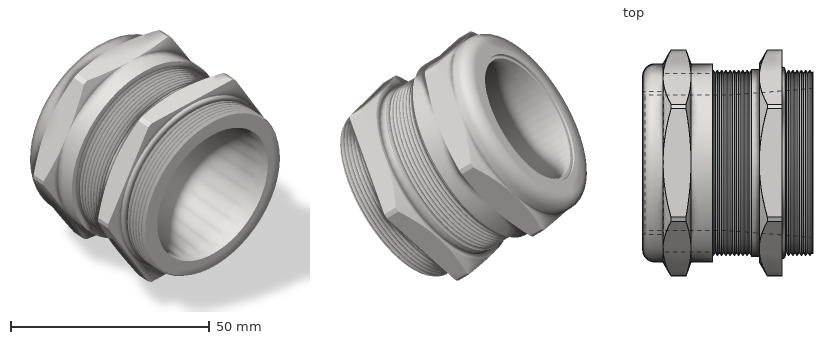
import cadquery as cq
import math


hex_flats = 50.0
hex_corners = 57.05
flat_radius = hex_flats / 2
corner_radius = hex_corners / 2
front_bevel = math.radians(30)
rear_bevel = math.radians(20)

cap_end_x = 17.7
cap_hex_start_x = 5.15
cap_hex_end_x = 12.2
cap_rounding = 3.15
lip_end_x = 5.25

nose_x = 0.6
nose_radius = 18.0
bore_radius = 17.1
taper_start_x = 21.35
mouth_radius = 18.8
collar_start_x = 27.45
collar_radius = 23.6
body_hex_start_x = 29.45
body_hex_end_x = 35.2
flange_end_x = 36.0
flange_radius = 24.2
body_end_x = 42.95

crest_radius = 23.4
root_radius = 22.55
front_crest_x = 17.8
front_ridges = 9
pitch = (collar_start_x - front_crest_x) / front_ridges
rear_crest_x = 36.85
rear_ridges = 6
rear_end_radius = 22.95


def turned(points):
    """Solid of revolution about X from a closed outline of (x, radius) points."""
    return cq.Workplane("XZ").polyline(points).close().revolve(360, (0, 0, 0), (1, 0, 0))


def ring(start_x, end_x, outer_radius, inner_radius):
    """Plain cylinder about X with a concentric hole."""
    return turned(
        [
            (start_x, inner_radius),
            (start_x, outer_radius),
            (end_x, outer_radius),
            (end_x, inner_radius),
        ]
    )


def bevelled_hex(start_x, end_x, inner_radius, bevel_rear):
    """Hexagonal ring with turned corners, bevelled in front and, if asked, behind."""
    prism = (
        cq.Workplane("YZ", origin=(start_x, 0, 0))
        .polygon(6, hex_flats / math.cos(math.pi / 6))
        .circle(inner_radius)
        .extrude(end_x - start_x)
    )
    bevel_height = corner_radius - flat_radius
    front_length = bevel_height * math.tan(front_bevel)
    rear_length = bevel_height * math.tan(rear_bevel)
    outline = [(start_x, 0), (start_x, flat_radius), (start_x + front_length, corner_radius)]
    if bevel_rear:
        outline += [(end_x - rear_length, corner_radius), (end_x, flat_radius)]
    else:
        outline += [(end_x, corner_radius)]
    outline += [(end_x, 0)]
    return prism.intersect(turned(outline))


def ridge_points(first_crest_x, ridges):
    """Outline points of V-shaped ridges, each a crest followed by a root."""
    points = []
    for index in range(ridges):
        crest_x = first_crest_x + index * pitch
        points += [(crest_x, crest_radius), (crest_x + pitch / 2, root_radius)]
    return points


def rounded_flange():
    """Narrow flange behind the hexagon, its rim a quarter round as wide as the flange."""
    rounding = flange_end_x - body_hex_end_x
    mid_offset = rounding * math.sin(math.pi / 4)
    arc_center_radius = flange_radius - rounding
    profile = (
        cq.Workplane("XZ")
        .moveTo(body_hex_end_x, root_radius)
        .lineTo(body_hex_end_x, flange_radius)
        .threePointArc(
            (body_hex_end_x + mid_offset, arc_center_radius + mid_offset),
            (flange_end_x, arc_center_radius),
        )
        .lineTo(flange_end_x, root_radius)
        .close()
    )
    return profile.revolve(360, (0, 0, 0), (1, 0, 0))


def make_cap():
    """Cap nut: rounded front, hexagon, and a lip that closes around the nose of the body."""
    shell = ring(0, cap_end_x, flat_radius, root_radius)
    lip = ring(0, lip_end_x, flat_radius, nose_radius)
    blank = shell.union(lip)
    front_rim = blank.faces("<X").edges(cq.selectors.RadiusNthSelector(-1))
    rounded = front_rim.fillet(cap_rounding)
    return rounded.union(bevelled_hex(cap_hex_start_x, cap_hex_end_x, root_radius, True))


def make_body():
    """Hollow body: nose, two threads, collar, hexagon and rounded flange."""
    outline = [
        (nose_x, bore_radius),
        (nose_x, nose_radius),
        (lip_end_x, nose_radius),
        (lip_end_x, root_radius),
        (cap_end_x, root_radius),
    ]
    outline += ridge_points(front_crest_x, front_ridges)
    outline += [
        (collar_start_x, crest_radius),
        (collar_start_x, collar_radius),
        (body_hex_end_x, collar_radius),
        (body_hex_end_x, root_radius),
        (rear_crest_x - pitch / 2, root_radius),
    ]
    outline += ridge_points(rear_crest_x, rear_ridges)
    outline += [
        (body_end_x, rear_end_radius),
        (body_end_x, mouth_radius),
        (taper_start_x, bore_radius),
    ]
    hexagon = bevelled_hex(body_hex_start_x, body_hex_end_x, collar_radius, False)
    return turned(outline).union(hexagon).union(rounded_flange())


cap = make_cap()
body = make_body()

result = cq.Compound.makeCompound([cap.val(), body.val()])